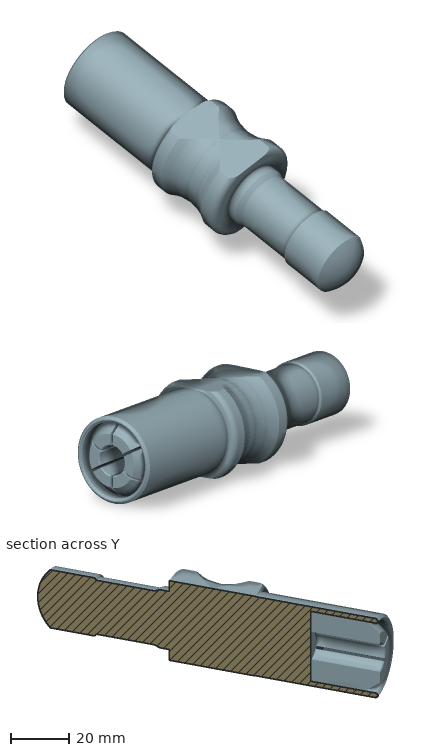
import cadquery as cq
import math

length = 126.5

sleeve_radius = 31.1 / 2
rim_x = 0.4
rim_chamfer = 0.9
bore_radius = 13.5
bore_chamfer = 0.8

collet_face_radius = 9.6
collet_hole_radius = 10.8 / 2
collet_hole_chamfer = 0.4
collet_cone_depth = 5.0
collet_hole_depth = 25.3
slot_width = 1.0
slot_count = 6

collar_foot = 45.8
collar_start = 46.2
collar_end = 77.8
collar_radius = 36.8 / 2
collar_round = 2.0
flat_height = 31.3
waist_radius = flat_height / 2
waist_width = 19.9

shoulder_radius = 22.9 / 2
shoulder_end = 81.2
neck_radius = 10.6
neck_start = 83.1
head_start = 104.8
head_chamfer = 0.6
dome_start = 121.7
head_flat_y = 9.0
head_flat_start = 104.5


def make_sleeve():
    """Sleeve whose bore is filled by a collet with a conical nose."""
    return (
        cq.Workplane("XY")
        .moveTo(0, 0)
        .lineTo(0, collet_face_radius)
        .lineTo(collet_cone_depth, bore_radius)
        .lineTo(rim_x + bore_chamfer, bore_radius)
        .lineTo(rim_x, bore_radius + bore_chamfer)
        .lineTo(rim_x, sleeve_radius - rim_chamfer)
        .lineTo(rim_x + rim_chamfer, sleeve_radius)
        .lineTo(collar_start + collar_round, sleeve_radius)
        .lineTo(collar_start + collar_round, 0)
        .close()
        .revolve(360, (0, 0, 0), (1, 0, 0))
    )


def make_collar():
    """Rounded collar with an arc waist, cut flat above and below."""
    middle = (collar_foot + collar_end) / 2
    height = collar_radius - collar_round
    corner = collar_round * (1 - math.sqrt(0.5))
    collar = (
        cq.Workplane("XY")
        .moveTo(collar_foot, 0)
        .lineTo(collar_foot, sleeve_radius)
        .lineTo(collar_start, height)
        .threePointArc(
            (collar_start + corner, collar_radius - corner),
            (collar_start + collar_round, collar_radius),
        )
        .lineTo(middle - waist_width / 2, collar_radius)
        .threePointArc((middle, waist_radius), (middle + waist_width / 2, collar_radius))
        .lineTo(collar_end - collar_round, collar_radius)
        .threePointArc((collar_end - corner, collar_radius - corner), (collar_end, height))
        .lineTo(collar_end, 0)
        .close()
        .revolve(360, (0, 0, 0), (1, 0, 0))
    )
    flats = cq.Workplane("XY").box(length, 2 * collar_radius, flat_height)
    return collar.intersect(flats.translate((middle, 0, 0)))


def make_plug():
    """Stepped plug with a spherical end and one flat on the +Y side of its head."""
    dome_height = length - dome_start
    dome_radius = (shoulder_radius**2 + dome_height**2) / (2 * dome_height)
    dome_center = length - dome_radius
    half_angle = math.asin(shoulder_radius / dome_radius) / 2
    dome_middle = (
        dome_center + dome_radius * math.cos(half_angle),
        dome_radius * math.sin(half_angle),
    )
    plug = (
        cq.Workplane("XY")
        .moveTo(collar_end - collar_round, 0)
        .lineTo(collar_end - collar_round, shoulder_radius)
        .lineTo(shoulder_end, shoulder_radius)
        .lineTo(neck_start, neck_radius)
        .lineTo(head_start, neck_radius)
        .lineTo(head_start, shoulder_radius - head_chamfer)
        .lineTo(head_start + head_chamfer, shoulder_radius)
        .lineTo(dome_start, shoulder_radius)
        .threePointArc(dome_middle, (length, 0))
        .close()
        .revolve(360, (0, 0, 0), (1, 0, 0))
    )
    ramp = shoulder_radius - head_flat_y
    head_cut = (
        cq.Workplane("XY")
        .moveTo(head_flat_start, head_flat_y)
        .lineTo(head_flat_start - ramp, shoulder_radius)
        .lineTo(length, shoulder_radius)
        .lineTo(length, head_flat_y)
        .close()
        .extrude(shoulder_radius, both=True)
    )
    return plug.cut(head_cut)


def make_collet_cuts():
    """Blind hole with a chamfered mouth and the radial slots that split the collet."""
    cuts = cq.Workplane("YZ").circle(collet_hole_radius).extrude(collet_hole_depth)
    mouth = cq.Solid.makeCone(
        collet_hole_radius + collet_hole_chamfer,
        collet_hole_radius,
        collet_hole_chamfer,
        dir=cq.Vector(1, 0, 0),
    )
    cuts = cuts.union(cq.Workplane(mouth))
    slot = (
        cq.Workplane("YZ")
        .center(0, bore_radius / 2)
        .rect(slot_width, bore_radius)
        .extrude(collet_hole_depth)
    )
    for index in range(slot_count):
        angle = index * 360 / slot_count
        cuts = cuts.union(slot.rotate((0, 0, 0), (1, 0, 0), angle))
    return cuts


body = make_sleeve().union(make_collar()).union(make_plug())
result = body.cut(make_collet_cuts())